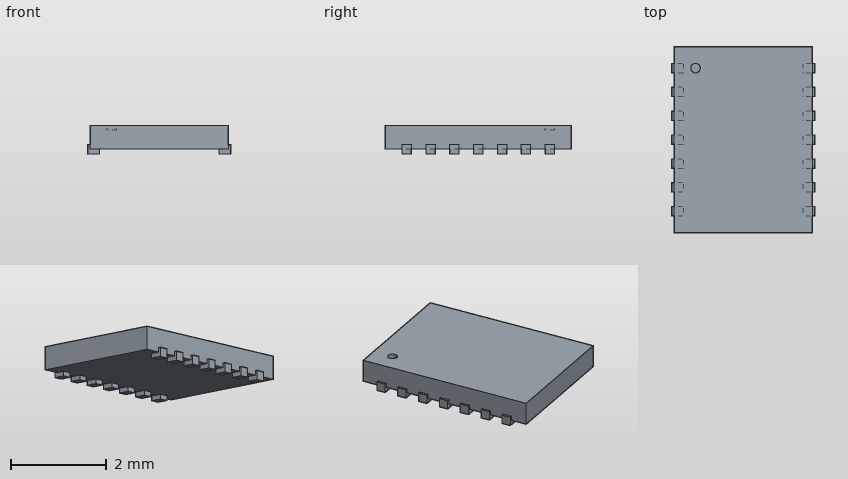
import cadquery as cq

total_width = 3.0
body_length = 3.9
total_height = 0.6

terminal_overhang = 0.05
terminal_length = 0.25
terminal_width = 0.2
terminal_height = 0.2
terminal_pitch = 0.5
terminals_per_side = 7

standoff = 0.1
body_width = total_width - 2 * terminal_overhang
body_height = total_height - standoff

dimple_diameter = 0.2
dimple_depth = 0.1
dimple_x = -1.0
row_end_y = (terminals_per_side - 1) / 2 * terminal_pitch


def make_body():
    return (
        cq.Workplane("XY")
        .workplane(offset=standoff)
        .rect(body_width, body_length)
        .extrude(body_height)
    )


def make_terminals():
    """Two mirrored rows of rectangular terminals, let into the body's lower edges."""
    row_x = (total_width - terminal_length) / 2
    return (
        cq.Workplane("XY")
        .rarray(2 * row_x, terminal_pitch, 2, terminals_per_side)
        .rect(terminal_length, terminal_width)
        .extrude(terminal_height)
    )


def make_dimple():
    return (
        cq.Workplane("XY")
        .workplane(offset=total_height)
        .center(dimple_x, row_end_y)
        .circle(dimple_diameter / 2)
        .extrude(-dimple_depth)
    )


result = make_body().union(make_terminals()).cut(make_dimple())